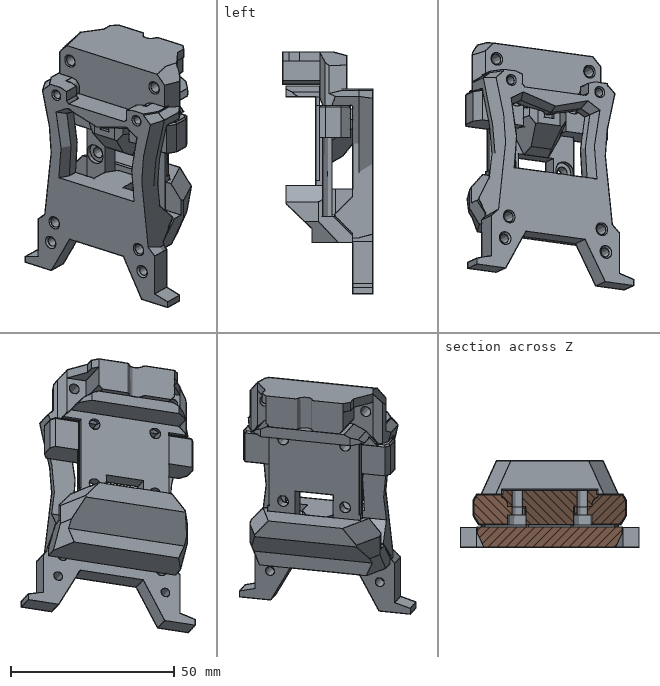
import cadquery as cq

WIDTH = 54.7
DEPTH = 27.6
HEIGHT = 74.1
FRAME_BACK = 6.15
HEAD_FRONT = 7.9
HEAD_BACK = 16.2
HEAD_BOTTOM = 57.75
FRAME_TOP = 62.8
PLATE_FRONT = 12.45
PLATE_BACK = 17.5
PLATE_HALF = 14.8
PLATE_BOTTOM = 23.7
WING_FRONT = 6.9
WING_BACK = 16.3
WING_BOTTOM = 47.9
WING_TOP = HEAD_BOTTOM
NOSE_HALF = 7.35
ARM_BACK = 26.6
CLAMP_BOLT_X = 9.9
CLAMP_BOLT_D = 3.4
CLAMP_HEAD_D = 6.0
LOW_CLAMP_BOLT_Z = 36.8
HIGH_CLAMP_BOLT_Z = 56.8
FAR = 222.35
MARGIN = 0.1


def mirrored(half):
    """Closed outline from its -X half, listed from bottom to top."""
    return half + [(-x, v) for x, v in reversed(half)]


def extrude_y(points, start, end):
    """Prism of an (X, Z) outline between two Y values."""
    return cq.Workplane("XZ", origin=(0, start, 0)).polyline(points).close().extrude(start - end)


def extrude_z(points, start, end):
    """Prism of an (X, Y) outline between two Z values."""
    return cq.Workplane("XY", origin=(0, 0, start)).polyline(points).close().extrude(end - start)


def extrude_x(points, half_width):
    """Prism of a (Y, Z) outline, centred on X = 0."""
    return cq.Workplane("YZ").polyline(points).close().extrude(half_width, both=True)


def block(x_range, y_range, z_range):
    (x0, x1), (y0, y1), (z0, z1) = x_range, y_range, z_range
    return extrude_z([(x0, y0), (x1, y0), (x1, y1), (x0, y1)], z0, z1)


def loft_y(first, second, start, end):
    """Solid with ruled flanks between two (X, Z) outlines that have equally many points."""
    wires = []
    for outline, y in ((first, start), (second, end)):
        wires.append(cq.Wire.makePolygon([cq.Vector(x, y, z) for x, z in outline], close=True))
    return cq.Workplane(cq.Solid.makeLoft(wires, True))


def cylinder_y(x, z, diameter, start, end):
    return cq.Workplane("XZ", origin=(x, start, z)).circle(diameter / 2).extrude(start - end)


def hole_with_chamfer(x, z, diameter, mouth_diameter, start, end):
    """Cutter for a hole along +Y with a 45 degree mouth at its start."""
    lead = (mouth_diameter - diameter) / 2
    cone = cq.Solid.makeCone(
        mouth_diameter / 2, diameter / 2, lead, pnt=cq.Vector(x, start, z), dir=cq.Vector(0, 1, 0)
    )
    return cylinder_y(x, z, diameter, start, end).union(cq.Workplane(cone))


def edges_near(low, high):
    """Selector for the edges whose middle lies between two corners."""
    margin = cq.Vector(MARGIN, MARGIN, MARGIN)
    low, high = cq.Vector(*low) - margin, cq.Vector(*high) + margin
    return cq.selectors.BoxSelector(low.toTuple(), high.toTuple())


def trim_flank(body, p, q, r):
    """Cut away what lies on the -X side of the plane through three points, and its mirror image."""
    p, q, r = cq.Vector(*p), cq.Vector(*q), cq.Vector(*r)
    normal = (q - p).cross(r - p)
    if normal.x > 0:
        normal = -normal
    outside = cq.Workplane(cq.Plane(origin=p, normal=normal)).rect(FAR, FAR).extrude(FAR)
    return body.cut(outside).cut(outside.mirror("YZ"))


def trim_upright_flank(body, p, q):
    """Trim both sides with an upright plane through two (X, Y) points."""
    return trim_flank(body, (*p, 0), (*q, 0), (*q, HEIGHT))


FLANK_DEPTH = 4.2
RIM_BOTTOM = 62.3
FOOT_HALF = [
    (-10.3, 12.5), (-17.35, 0), (-WIDTH / 2, 0), (-WIDTH / 2, 1.9), (-22.4, 3.25), (-22.4, 16.0),
]
FRONT_HALF = FOOT_HALF + [
    (-19.9, 18.3), (-17.4, 39.7), (-18.1, 48.4), (-20.75, 59.9), (-18.1, RIM_BOTTOM),
    (-18.1, FRAME_TOP),
]
BACK_HALF = FOOT_HALF + [
    (-21.3, 17.2), (-18.8, 37.2), (-19.65, 46.0), (-22.9, 60.5), (-20.6, RIM_BOTTOM),
    (-20.6, FRAME_TOP),
]
WINDOW_BEVEL = 3.0
WINDOW_FLOOR = 32.2
WINDOW_FRONT_HALF = [(-14.45, WINDOW_FLOOR), (-13.6, 42.4), (-15.5, 54.0), (-11.3, 56.5), (0, 53.4)]
WINDOW_BACK_HALF = [(-12.7, WINDOW_FLOOR), (-12.0, 42.4), (-13.6, 53.0), (-10.45, 54.55), (0, 52.0)]
LEDGE_HALF = [(-10.7, 58.1), (-11.5, 58.9), (-11.5, 62.05), (-13.8, FRAME_TOP)]
LEDGE_RELIEF_FRONT = 5.0
LEDGE_BOSS_D = 6.0
TONGUE_HALF_PLAN = [(-5.55, FRAME_BACK), (-5.55, 11.5), (-3.1, 15.3)]
HOOD_ROUNDING = 0.7
RIDGE_SIDE = [(FRAME_BACK, 29.9), (11.85, 24.2), (FRAME_BACK, 18.45)]

HEAD_SIDE = [
    (HEAD_FRONT, HEAD_BOTTOM), (HEAD_FRONT, 73.0), (12.15, HEIGHT), (HEAD_BACK, HEIGHT),
    (HEAD_BACK, 60.05), (15.35, HEAD_BOTTOM),
]
HEAD_FRONT_CORNER = (-20.15, HEAD_FRONT)
HEAD_SHOULDER = (-21.8, 13.35)
HEAD_HEEL = (-21.05, 14.6)
HEAD_BEVEL = [(-20.15, HEAD_FRONT, 70.1), (-17.35, HEAD_FRONT, 73.0), (-17.35, 12.15, HEIGHT)]
COVER_HALF = 12.4
COVER_BOTTOM = 64.2
COVER_CHAMFER = 1.2
LID_BOTTOM = 71.4
LID_HALF = [(-18.5, HEAD_BACK), (-14.15, 22.45), (-14.15, 25.65), (-COVER_HALF, DEPTH)]
CABLE_GROOVE_D = 4.7
CABLE_GROOVE_ROUNDING = 1.1

TOOL_BOLT_X = 16.15
TOOL_BOLT_D = 3.2
TOOL_BOLT_MOUTH = 4.0
HIGH_TOOL_BOLT_Z = 68.1
LOW_TOOL_BOLT_Z = 16.45
FOOT_BOLT = (17.6, 9.4)
FOOT_BOLT_D = 2.8
FOOT_BOLT_MOUTH = 4.0
INSERT = (15.4, 59.75)
INSERT_D = 2.5
INSERT_MOUTH = 3.4
INSERT_DEPTH = 5.9


def window_outline(half):
    """Mirrored outline with a single point at its centre."""
    return half + [(-x, z) for x, z in reversed(half[:-1])]


def make_frame_plate():
    back = mirrored(BACK_HALF)
    plate = loft_y(mirrored(FRONT_HALF), back, 0, FLANK_DEPTH)
    plate = plate.union(extrude_y(back, FLANK_DEPTH, FRAME_BACK))
    window_front = window_outline(WINDOW_FRONT_HALF)
    window_back = window_outline(WINDOW_BACK_HALF)
    plate = plate.cut(loft_y(window_front, window_back, 0, WINDOW_BEVEL))
    return plate.cut(extrude_y(window_back, WINDOW_BEVEL, FRAME_BACK))


def make_ridge_and_tongue():
    """V-shaped ridge across the back of the frame, and the tongue that enters the centre plate."""
    within_frame = extrude_y(mirrored(BACK_HALF), FRAME_BACK, RIDGE_SIDE[1][0])
    ridge = extrude_x(RIDGE_SIDE, WIDTH / 2).intersect(within_frame)
    return ridge.union(extrude_z(mirrored(TONGUE_HALF_PLAN), RIDGE_SIDE[1][1], WINDOW_FLOOR))


def make_hood():
    """Shoulders of the frame that run back along both sides of the head."""
    above = block((-WIDTH / 2, WIDTH / 2), (FRAME_BACK, HEAD_BACK), (HEAD_BOTTOM, HEIGHT))
    hood = extrude_y(mirrored(BACK_HALF), FRAME_BACK, HEAD_SHOULDER[1]).intersect(above)
    return trim_upright_flank(hood, HEAD_SHOULDER, HEAD_HEEL)


def make_head():
    head = extrude_x(HEAD_SIDE, WIDTH / 2)
    head = trim_upright_flank(head, HEAD_FRONT_CORNER, HEAD_SHOULDER)
    head = trim_upright_flank(head, HEAD_SHOULDER, HEAD_HEEL)
    head = trim_upright_flank(head, HEAD_HEEL, LID_HALF[0])
    return trim_flank(head, *HEAD_BEVEL)


def make_cover():
    section_half = [
        (-COVER_HALF + COVER_CHAMFER, COVER_BOTTOM),
        (-COVER_HALF, COVER_BOTTOM + COVER_CHAMFER),
        (-COVER_HALF, HEIGHT),
    ]
    cover = extrude_y(mirrored(section_half), HEAD_BACK, DEPTH)
    cover = cover.union(extrude_z(mirrored(LID_HALF), LID_BOTTOM, HEIGHT))
    groove = cq.Workplane("XY", origin=(0, DEPTH, 0)).circle(CABLE_GROOVE_D / 2).extrude(HEIGHT)
    cover = cover.cut(groove)
    mouth = edges_near((-CABLE_GROOVE_D, DEPTH, COVER_BOTTOM), (CABLE_GROOVE_D, DEPTH, HEIGHT))
    return cover.edges(mouth).edges("|Z").fillet(CABLE_GROOVE_ROUNDING)


def cut_ledge(body):
    """Recess in the top of the frame in front of the head, widened to the bosses next to the head."""
    insert_x, insert_z = INSERT
    floor_z = LEDGE_HALF[0][1]
    relief = block((-insert_x, insert_x), (LEDGE_RELIEF_FRONT, HEAD_FRONT), (floor_z, FRAME_TOP))
    for x in (-insert_x, insert_x):
        relief = relief.cut(cylinder_y(x, insert_z, LEDGE_BOSS_D, LEDGE_RELIEF_FRONT, HEAD_FRONT))
    return body.cut(extrude_y(mirrored(LEDGE_HALF), 0, HEAD_FRONT)).cut(relief)


def cut_carriage_holes(body):
    foot_x, foot_z = FOOT_BOLT
    insert_x, insert_z = INSERT
    for side in (-1, 1):
        tool_x = side * TOOL_BOLT_X
        high = hole_with_chamfer(
            tool_x, HIGH_TOOL_BOLT_Z, TOOL_BOLT_D, TOOL_BOLT_MOUTH, HEAD_FRONT, HEAD_BACK
        )
        low = hole_with_chamfer(tool_x, LOW_TOOL_BOLT_Z, TOOL_BOLT_D, TOOL_BOLT_MOUTH, 0, FRAME_BACK)
        foot = hole_with_chamfer(side * foot_x, foot_z, FOOT_BOLT_D, FOOT_BOLT_MOUTH, 0, FRAME_BACK)
        insert = hole_with_chamfer(side * insert_x, insert_z, INSERT_D, INSERT_MOUTH, 0, INSERT_DEPTH)
        for hole in (high, low, foot, insert):
            body = body.cut(hole)
    return body


def make_carriage():
    body = make_frame_plate().union(make_hood())
    inner_corner = edges_near((-WIDTH, FRAME_BACK, HEAD_BOTTOM), (WIDTH, FRAME_BACK, HEAD_BOTTOM))
    body = body.edges(inner_corner).fillet(HOOD_ROUNDING)
    body = cut_ledge(body.union(make_ridge_and_tongue()))
    body = body.union(make_head()).union(make_cover())
    return cut_carriage_holes(body)


PLATE_COVE = (15.6, 12.9)
PLATE_COVE_D = 5.1
EDGE_RECESS_FRONT = 16.3
EDGE_RECESS_BOTTOM = 34.75
EDGE_RECESS_DEPTH = 0.45
SLOT_HALF = 6.1
SLOT_TOP = 40.4
CLAMP_HEAD_DEPTH = 1.5
ARM_BOTTOM = 60.3
ARM_TOP = 63.75
ARM_HALF = [(-17.8, ARM_BOTTOM), (-16.3, 61.8), (-COVER_HALF, ARM_TOP)]
ARM_SIDE = [(-17.85, 22.6), (-16.5, 24.7)]
ARM_CORNER = [(-16.3, 24.7), (-14.3, ARM_BACK)]
WEB_HALF = [(-20.3, WING_TOP), *ARM_HALF[1:]]
NOSE_FRONT = 4.1
NOSE_ROOF = 51.8
NOSE_TOP = 53.5
NOSE_CORE_TOP = 56.7
NOSE_HALF_PLAN = [
    (-NOSE_HALF, PLATE_FRONT), (-NOSE_HALF, WING_FRONT), (-6.45, 5.0), (-3.85, NOSE_FRONT),
]
NOSE_BREAK = (9.1, 42.25)
NOSE_HEEL = (PLATE_FRONT, 40.3)
NOSE_TOE = (NOSE_FRONT, 48.55)
NOSE_BEVEL_START = (-4.6, *NOSE_TOE)
FLARE_HALF = 8.15
FLARE_CREST = (-6.3, 7.85, WING_BOTTOM)
FLARE_FOOT = [(-FLARE_HALF, PLATE_FRONT, 47.0), (-4.7, PLATE_FRONT, 41.05)]
NOSE_SLOT_HALF = 1.6
NOSE_SLOT_BOTTOM = 50.6
NOSE_SLOT_DEPTH = 1.1


def make_plate_blank():
    plate = block(
        (-PLATE_HALF, PLATE_HALF), (PLATE_FRONT, PLATE_BACK), (PLATE_BOTTOM, WING_TOP)
    )
    cove_x, cove_y = PLATE_COVE
    for side in (-1, 1):
        cove = cq.Workplane("XY", origin=(side * cove_x, cove_y, PLATE_BOTTOM)).circle(PLATE_COVE_D / 2)
        plate = plate.cut(cove.extrude(WING_TOP - PLATE_BOTTOM))
        recess = block(
            (side * (PLATE_HALF - EDGE_RECESS_DEPTH), side * PLATE_HALF),
            (EDGE_RECESS_FRONT, PLATE_BACK),
            (EDGE_RECESS_BOTTOM, WING_TOP),
        )
        plate = plate.cut(recess)
    return plate


def make_nose():
    flare = block((-FLARE_HALF, FLARE_HALF), (NOSE_FRONT, PLATE_FRONT), (NOSE_HEEL[1], WING_BOTTOM))
    flare = trim_flank(flare, FLARE_CREST, *FLARE_FOOT)
    nose = flare.union(extrude_z(mirrored(NOSE_HALF_PLAN), WING_BOTTOM, NOSE_TOP))
    nose = trim_flank(nose, NOSE_BEVEL_START, FLARE_CREST, FLARE_FOOT[1])
    side = [NOSE_TOE, (NOSE_FRONT, NOSE_TOP), (PLATE_FRONT, NOSE_TOP), NOSE_HEEL, NOSE_BREAK]
    nose = nose.intersect(extrude_x(side, FLARE_HALF))
    roof_half = [(-FLARE_HALF, PLATE_BOTTOM), (-FLARE_HALF, NOSE_TOP), (-NOSE_HALF, NOSE_TOP)]
    roof = roof_half + [(0, NOSE_ROOF)] + [(-x, z) for x, z in reversed(roof_half)]
    nose = nose.intersect(extrude_y(roof, NOSE_FRONT, PLATE_FRONT))
    slot = block(
        (-NOSE_SLOT_HALF, NOSE_SLOT_HALF),
        (NOSE_FRONT, NOSE_FRONT + NOSE_SLOT_DEPTH),
        (NOSE_SLOT_BOTTOM, NOSE_TOP),
    )
    core = block((-NOSE_HALF, NOSE_HALF), (WING_FRONT, PLATE_FRONT), (NOSE_ROOF, WING_TOP))
    rib_half = -NOSE_HALF_PLAN[2][0]
    rib = block((-rib_half, rib_half), (FRAME_BACK, WING_FRONT), (NOSE_ROOF, NOSE_CORE_TOP))
    return nose.cut(slot).union(core).union(rib)


def make_arm():
    arm = extrude_y(mirrored(ARM_HALF), WING_BACK, ARM_BACK)
    arm = trim_upright_flank(arm, *ARM_SIDE)
    arm = trim_upright_flank(arm, *ARM_CORNER)
    return arm.union(extrude_y(mirrored(WEB_HALF), WING_BACK, PLATE_BACK))


def make_centre():
    body = make_plate_blank().union(make_arm())
    body = body.cut(
        block((-SLOT_HALF, SLOT_HALF), (PLATE_FRONT, PLATE_BACK), (PLATE_BOTTOM, SLOT_TOP))
    )
    body = body.union(make_nose())
    for side in (-1, 1):
        x = side * CLAMP_BOLT_X
        head_end = PLATE_FRONT + CLAMP_HEAD_DEPTH
        body = body.cut(cylinder_y(x, LOW_CLAMP_BOLT_Z, CLAMP_HEAD_D, PLATE_FRONT, head_end))
        for z in (LOW_CLAMP_BOLT_Z, HIGH_CLAMP_BOLT_Z):
            body = body.cut(cylinder_y(x, z, CLAMP_BOLT_D, PLATE_FRONT, PLATE_BACK))
    return body


WING_OUTSIDE = 23.5
WING_PLAN = [
    (-NOSE_HALF, WING_FRONT), (-21.8, WING_FRONT), (-WING_OUTSIDE, 9.7), (-WING_OUTSIDE, 14.45),
    (-22.4, WING_BACK), (-NOSE_HALF, WING_BACK),
]
WING_TOP_CHAMFER = 0.5
WING_HEAD_DEPTH = 3.0


def make_wing(side):
    """The wing at -X for side -1, at +X for side 1."""
    wing = extrude_z([(-side * x, y) for x, y in WING_PLAN], WING_BOTTOM, WING_TOP)
    wing = wing.faces(">Z").chamfer(WING_TOP_CHAMFER).cut(make_plate_blank())
    x = side * CLAMP_BOLT_X
    head_end = WING_FRONT + WING_HEAD_DEPTH
    wing = wing.cut(cylinder_y(x, HIGH_CLAMP_BOLT_Z, CLAMP_HEAD_D, WING_FRONT, head_end))
    return wing.cut(cylinder_y(x, HIGH_CLAMP_BOLT_Z, CLAMP_BOLT_D, WING_FRONT, PLATE_FRONT))


BRACKET_HALF = 20.8
BRACKET_BOTTOM = 15.7
BRACKET_TOP = 33.2
BRACKET_FACE = 15.4
BRACKET_SIDE = [
    (FRAME_BACK, BRACKET_BOTTOM), RIDGE_SIDE[2], (11.4, PLATE_BOTTOM),
    (BRACKET_FACE, PLATE_BOTTOM), (BRACKET_FACE, BRACKET_TOP), (ARM_BACK, BRACKET_TOP),
    (ARM_BACK, 27.65), (18.7, 20.0), (18.7, BRACKET_BOTTOM),
]
BRACKET_CHAMFER = 0.45
SHOULDER = (-BRACKET_HALF, 16.7)
BRACKET_HEEL = (-16.3, ARM_BACK)
SHOULDER_TOP = 28.2
SHOULDER_BOTTOM = 22.2
TOP_EDGE = [(-16.8, 15.7, BRACKET_TOP), (-12.15, 26.0, BRACKET_TOP)]
BOTTOM_CORNER = (-BRACKET_HALF, 10.5, BRACKET_BOTTOM)


def make_lower_bracket():
    body = extrude_x(BRACKET_SIDE, BRACKET_HALF)
    seat_start, seat_end = BRACKET_SIDE[1:3]
    seat_middle = [(a + b) / 2 for a, b in zip(seat_start, seat_end)]
    for x in (-BRACKET_HALF, BRACKET_HALF):
        seat_edge = cq.selectors.NearestToPointSelector((x, *seat_middle))
        body = body.edges(seat_edge).chamfer(BRACKET_CHAMFER)
    body = trim_upright_flank(body, SHOULDER, BRACKET_HEEL)
    body = trim_flank(body, (*SHOULDER, SHOULDER_TOP), *TOP_EDGE)
    body = trim_flank(
        body, (*SHOULDER, SHOULDER_BOTTOM), (*BRACKET_HEEL, SHOULDER_BOTTOM), BOTTOM_CORNER
    )
    pocket = block(
        (-PLATE_HALF, PLATE_HALF), (BRACKET_FACE, PLATE_BACK), (PLATE_BOTTOM, BRACKET_TOP)
    )
    body = body.cut(pocket)
    pocket_edge = cq.selectors.NearestToPointSelector((0, PLATE_BACK, BRACKET_TOP))
    return body.edges(pocket_edge).chamfer(BRACKET_CHAMFER)


carriage = make_carriage()
centre = make_centre()
lower_bracket = make_lower_bracket()
wings = [make_wing(side) for side in (-1, 1)]

result = cq.Compound.makeCompound(
    [carriage.val(), centre.val(), lower_bracket.val(), *[wing.val() for wing in wings]]
)